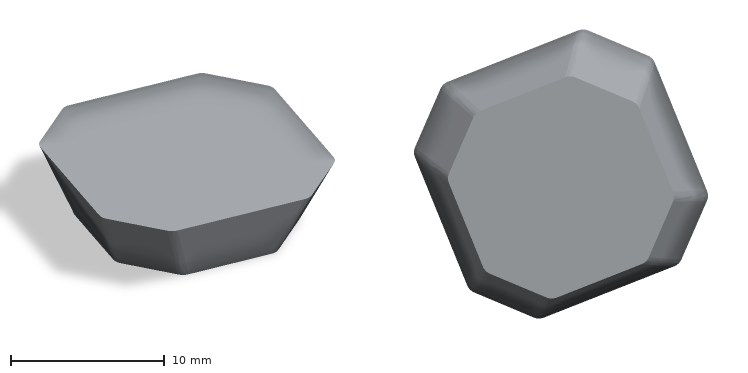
import cadquery as cq
import math

top_width = 16.8
height = 4.79
side_taper_angle = 20.0
top_flat = 9.85
bottom_flat = 6.65
edge_radius = 0.92

bottom_width = top_width - 2 * height * math.tan(math.radians(side_taper_angle))


def clipped_square(width, flat):
    """Corner points of a square whose sides keep a straight length of flat."""
    side = width / 2
    end = flat / 2
    return [
        (side, -end),
        (side, end),
        (end, side),
        (-end, side),
        (-side, end),
        (-side, -end),
        (-end, -side),
        (end, -side),
    ]


body = (
    cq.Workplane("XY")
    .polyline(clipped_square(bottom_width, bottom_flat))
    .close()
    .workplane(offset=height)
    .polyline(clipped_square(top_width, top_flat))
    .close()
    .loft(ruled=True, combine=True)
)

result = body.edges("not(#Z)").fillet(edge_radius)